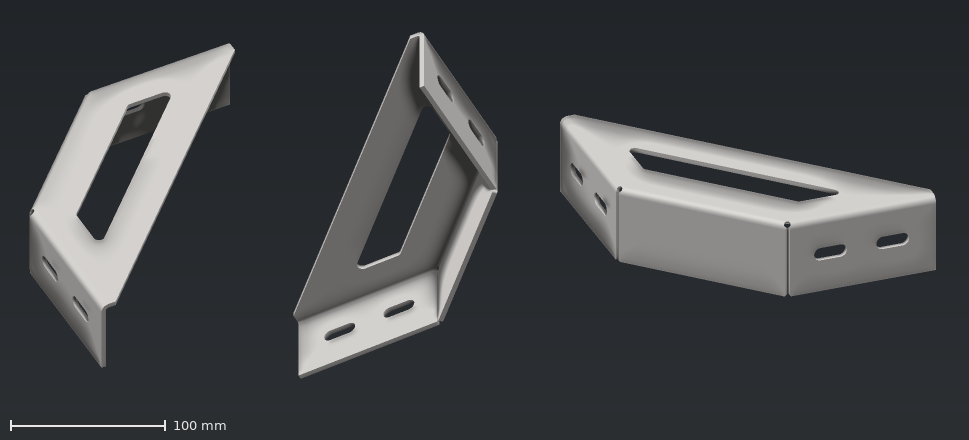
import cadquery as cq
import math

DEPTH = 80.0
LENGTH = 265.7
HEIGHT = 54.0

THICKNESS = 3.2
BEND_RADIUS = 5.0
INNER_RADIUS = BEND_RADIUS - THICKNESS

WING_ANGLE = 45.0
WING_REACH = 72.8
COS45 = math.cos(math.radians(WING_ANGLE))
CORNER_Y = LENGTH / 2 - WING_REACH
WING_LENGTH = WING_REACH / COS45
BEND_LINE_CORNER_Y = CORNER_Y + BEND_RADIUS - BEND_RADIUS / COS45

CENTER_HALF_WIDTH = 59.0
WING_GAP = 1.9
FLANGE_CORNER_RADIUS = 1.3
RELIEF_RADIUS = 2.0
RELIEF_DEPTH = 8.0

SLOT_LENGTH = 22.5
SLOT_WIDTH = 9.0
SLOT_PITCH = 43.0

WINDOW_LEFT = 30.3
WINDOW_RIGHT = 54.5
WINDOW_LEFT_HALF = 54.7
WINDOW_RADIUS = 3.7


def make_plate():
    """Flat top sheet, ending at the bend lines, with its window."""
    tip_x = WING_REACH + BEND_RADIUS * COS45
    tip_y = LENGTH / 2 - BEND_RADIUS * COS45
    back_y = LENGTH / 2 - (DEPTH - WING_REACH)
    upper = [(BEND_RADIUS, BEND_LINE_CORNER_Y), (tip_x, tip_y), (DEPTH, back_y)]
    lower = [(x, -y) for x, y in reversed(upper)]
    plate = (
        cq.Workplane("XY").workplane(offset=HEIGHT - THICKNESS)
        .polyline(upper + lower).close().extrude(THICKNESS)
    )
    right_half = WINDOW_LEFT_HALF + WINDOW_RIGHT - WINDOW_LEFT
    window = (
        cq.Workplane("XY")
        .polyline([
            (WINDOW_LEFT, -WINDOW_LEFT_HALF),
            (WINDOW_LEFT, WINDOW_LEFT_HALF),
            (WINDOW_RIGHT, right_half),
            (WINDOW_RIGHT, -right_half),
        ])
        .close().extrude(HEIGHT).edges("|Z").fillet(WINDOW_RADIUS)
    )
    return plate.cut(window)


def make_flange(start, end):
    """Bent flange from Y = start to Y = end, with its outer face at X = 0."""
    bend_z = HEIGHT - BEND_RADIUS
    mid = math.sqrt(0.5)
    flange = (
        cq.Workplane("XZ", origin=(0, start, 0))
        .lineTo(0, bend_z)
        .threePointArc(
            (BEND_RADIUS * (1 - mid), bend_z + BEND_RADIUS * mid), (BEND_RADIUS, HEIGHT))
        .lineTo(BEND_RADIUS, HEIGHT - THICKNESS)
        .threePointArc(
            (BEND_RADIUS - INNER_RADIUS * mid, bend_z + INNER_RADIUS * mid), (THICKNESS, bend_z))
        .lineTo(THICKNESS, 0)
        .close().extrude(start - end)
    )
    return flange


def make_wing():
    """Side flange with two slots, turned into place on the +Y side."""
    slots = (
        cq.Workplane("YZ", origin=(0, WING_LENGTH / 2, HEIGHT / 2))
        .pushPoints([(-SLOT_PITCH / 2, 0), (SLOT_PITCH / 2, 0)])
        .slot2D(SLOT_LENGTH, SLOT_WIDTH).extrude(THICKNESS)
    )
    wing = make_flange(WING_GAP, WING_LENGTH)
    wing = wing.edges("|X and <Y and <Z").fillet(FLANGE_CORNER_RADIUS)
    return (
        wing.cut(slots)
        .rotate((0, 0, 0), (0, 0, 1), -WING_ANGLE)
        .translate((0, CORNER_Y, 0))
    )


def make_relief():
    """Round relief through the middle of the bend where the +Y corner gap meets the plate."""
    bisector = math.radians(WING_ANGLE / 2)
    inset = BEND_RADIUS * (1 - math.sqrt(0.5))
    middle = cq.Vector(inset, CORNER_Y - inset * math.tan(bisector), HEIGHT - inset)
    inward = cq.Vector(math.cos(bisector), -math.sin(bisector), -1).normalized()
    start = middle - inward * (RELIEF_DEPTH / 2)
    return cq.Workplane(cq.Solid.makeCylinder(RELIEF_RADIUS, RELIEF_DEPTH, start, inward))


center = make_flange(-CENTER_HALF_WIDTH, CENTER_HALF_WIDTH)
center = center.edges("|X and <Z").fillet(FLANGE_CORNER_RADIUS)
wing = make_wing()

relief = make_relief()

result = (
    make_plate().union(center).union(wing).union(wing.mirror("XZ"))
    .cut(relief).cut(relief.mirror("XZ"))
)